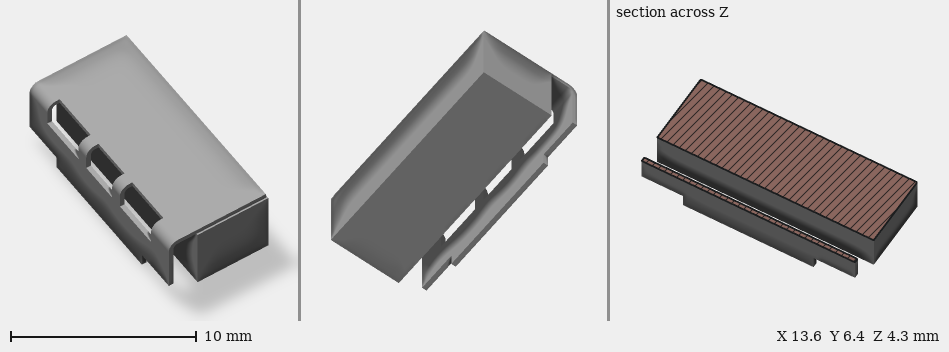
import cadquery as cq

length = 13.6
width = 6.4
height = 4.3

sheet = 0.3
bend_radius = 2 * sheet
cover_margin = 0.1
cover_length = length - 2 * cover_margin
front_y = -width / 2
cover_back_y = width / 2 - cover_margin

windows = [(-3.5, 3.0), (0.0, 2.5), (3.5, 3.0)]
window_sill_z = 2.8
window_depth = 0.8

step_height = 0.8
flange_foot_length = 8.2

body_width = 4.6
body_height = height - sheet
body_front_y = width / 2 - body_width

pad_depth = 1.0
pad_height = 0.15
pad_length = 0.5
pad_centre_x = 5.57
corner_pad_length = 0.35
corner_pad_lip_length = 0.2
corner_pad_lip_height = 0.08


def box(x_min, x_max, y_min, y_max, z_min, z_max):
    size = (x_max - x_min, y_max - y_min, z_max - z_min)
    return cq.Workplane("XY").box(*size, centered=False).translate((x_min, y_min, z_min))


def make_bent_sheet():
    """L-shaped sheet with a rounded bend, extruded along X."""
    inner_radius = bend_radius - sheet
    outer = box(-cover_length / 2, cover_length / 2, front_y, cover_back_y, 0, height)
    outer = outer.edges("|X and >Z and <Y").fillet(bend_radius)
    inner = box(-cover_length / 2, cover_length / 2, front_y + sheet, cover_back_y, 0, height - sheet)
    inner = inner.edges("|X and >Z and <Y").fillet(inner_radius)
    return outer.cut(inner)


def cut_windows(cover):
    for centre_x, window_length in windows:
        window = box(
            centre_x - window_length / 2,
            centre_x + window_length / 2,
            front_y,
            front_y + window_depth,
            window_sill_z,
            height,
        )
        cover = cover.cut(window)
    return cover


def cut_corner_steps(cover):
    step = box(flange_foot_length / 2, cover_length / 2, front_y, front_y + sheet, 0, step_height)
    return cover.cut(step).cut(step.mirror("YZ"))


def make_body():
    return box(-length / 2, length / 2, body_front_y, width / 2, 0, body_height)


def make_end_pads():
    """Separate pad and stepped corner pad at the +X end of the block."""
    pad_back_y = body_front_y + pad_depth
    pad = box(
        pad_centre_x - pad_length / 2,
        pad_centre_x + pad_length / 2,
        body_front_y,
        pad_back_y,
        0,
        pad_height,
    )
    end_x = length / 2
    lip_x = end_x - corner_pad_lip_length
    corner = box(end_x - corner_pad_length, lip_x, body_front_y, pad_back_y, 0, pad_height)
    lip = box(lip_x, end_x, body_front_y, pad_back_y, 0, corner_pad_lip_height)
    return pad.union(corner.union(lip))


cover = cut_corner_steps(cut_windows(make_bent_sheet()))
end_pads = make_end_pads()

result = cover.union(make_body())
result = result.union(end_pads, clean=False)
result = result.union(end_pads.mirror("YZ"), clean=False)